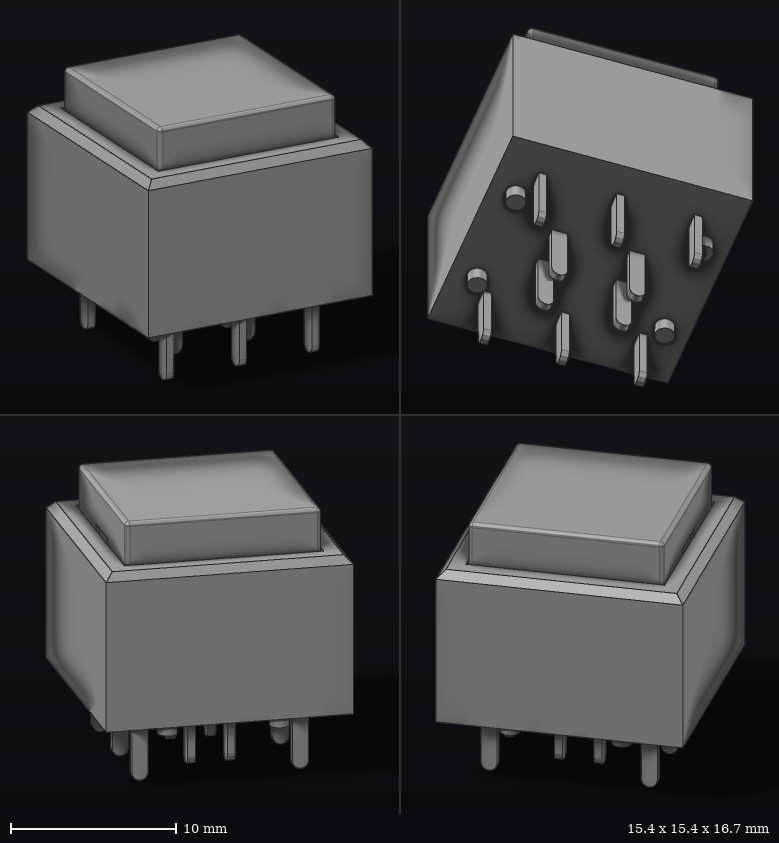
import cadquery as cq

total_height = 16.7
body_width = 15.4
body_height = 10.0
pin_length = 4.0
body_top = pin_length + body_height

rim_chamfer = 0.5
opening_width = 12.39
gap_depth = 0.5
gap_floor = body_top - gap_depth

cap_width = 12.19
cap_fillet = 0.27
notch_width = 2.92
notch_rise = 0.25
notch_depth = 0.2

pin_width = 1.0
pin_thickness = 0.5
switch_pin_pitch = 5.0
lamp_pin_x = 1.24
lamp_pin_y = switch_pin_pitch / 2

peg_diameter = 1.2
peg_length = 0.89
peg_x = 3.49
peg_y = 6.01


def make_housing():
    """Square block with a chamfered top rim and a square recess around the cap."""
    block = (
        cq.Workplane("XY", origin=(0, 0, pin_length))
        .rect(body_width, body_width)
        .extrude(body_height)
        .faces(">Z")
        .chamfer(rim_chamfer)
    )
    recess = (
        cq.Workplane("XY", origin=(0, 0, gap_floor))
        .rect(opening_width, opening_width)
        .extrude(gap_depth)
    )
    return block.cut(recess)


def make_cap():
    """Rounded cap standing on the recess floor, notched at the foot of its -X side."""
    cap = (
        cq.Workplane("XY", origin=(0, 0, gap_floor))
        .rect(cap_width, cap_width)
        .extrude(total_height - gap_floor)
        .edges("|Z or >Z")
        .fillet(cap_fillet)
    )
    notch = cq.Workplane("XY").box(
        notch_depth, notch_width, gap_depth + notch_rise, centered=(False, True, False)
    )
    return cap.cut(notch.translate((-cap_width / 2, 0, gap_floor)))


def make_pin():
    """Flat pin, wide along X, with its round tip at Z = 0."""
    tip_radius = pin_width / 2
    return (
        cq.Workplane("XZ")
        .moveTo(-tip_radius, pin_length)
        .lineTo(-tip_radius, tip_radius)
        .threePointArc((0, 0), (tip_radius, tip_radius))
        .lineTo(tip_radius, pin_length)
        .close()
        .extrude(pin_thickness / 2, both=True)
    )


def make_peg():
    """Short round locating peg hanging from the underside."""
    return (
        cq.Workplane("XY", origin=(0, 0, pin_length - peg_length))
        .circle(peg_diameter / 2)
        .extrude(peg_length)
    )


result = make_housing().union(make_cap())

switch_pin = make_pin()
lamp_pin = switch_pin.rotate((0, 0, 0), (0, 0, 1), 90)
peg = make_peg()

for side_x in (-1, 1):
    for row in (-1, 0, 1):
        result = result.union(switch_pin.translate((side_x * switch_pin_pitch, row * switch_pin_pitch, 0)))
    for side_y in (-1, 1):
        result = result.union(lamp_pin.translate((side_x * lamp_pin_x, side_y * lamp_pin_y, 0)))
        result = result.union(peg.translate((side_x * peg_x, side_y * peg_y, 0)))